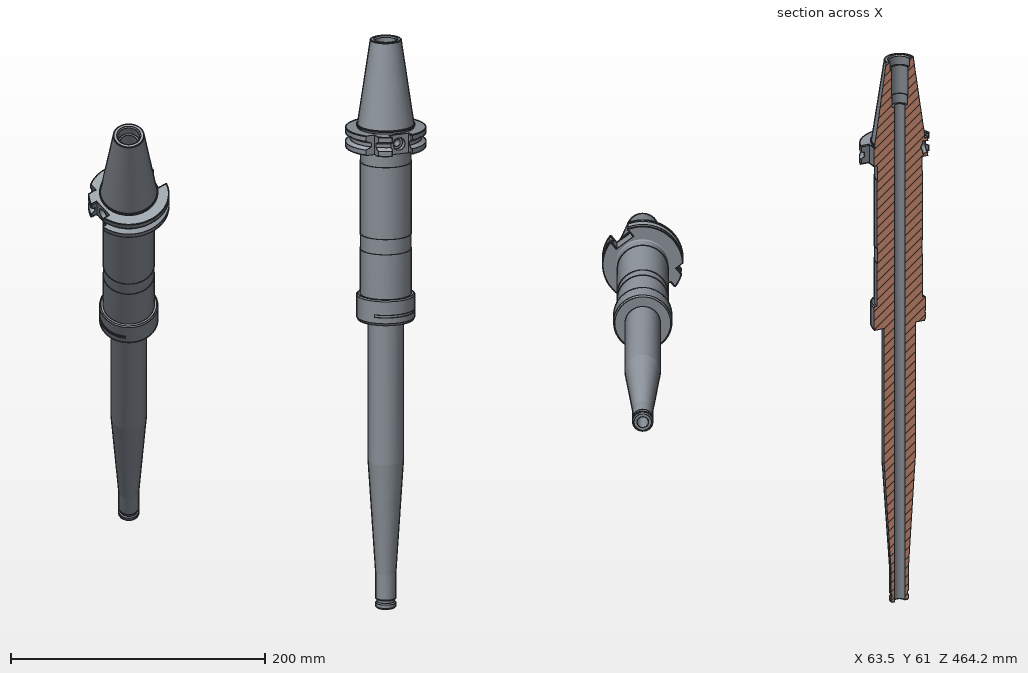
import cadquery as cq
import math

TOTAL_LENGTH = 464.25

GAUGE_DIAMETER = 44.45
TAPER_LENGTH = 68.4
TAPER_RATE = 7 / 24
SHANK_CHAMFER = 0.5
RIM_DIAMETER = 46.0
RIM_TOP_Z = -0.6
RIM_BOTTOM_Z = -1.6

FLANGE_DIAMETER = 63.55
FLANGE_TOP_Z = -3.2
FLANGE_BOTTOM_Z = -19.1
FLANGE_CHAMFER = 0.5
GROOVE_DIAMETER = 56.25
GROOVE_CENTER_Z = -11.1
GROOVE_FLOOR_WIDTH = 3.0
GROOVE_HALF_ANGLE = 30

SLOT_WIDTH = 16.1
SLOT_CHAMFER = 0.8
FRONT_SLOT_FLOOR_Y = -25.0
REAR_SLOT_FLOOR_Y = 22.8
NOTCH_OFFSET = 18.5
CHIP_HOLE_DIAMETER = 10.0
CHIP_HOLE_DEPTH = 4.6
CHIP_PILOT_DIAMETER = 6.0
DRILL_POINT_ANGLE = 118

BODY_DIAMETER = 40.5
BODY_RELIEF_DIAMETER = 40.0
FLANGE_FILLET = 1.0
COLLAR_BOTTOM_Z = -31.2
RING_TOP_Z = -90.0
RING_BOTTOM_Z = -102.4

NUT_DIAMETER = 46.0
NUT_TOP_Z = -139.0
NUT_BOTTOM_Z = -159.8
NUT_TOP_CHAMFER = 1.0
NUT_BEVEL_HEIGHT = 1.9
NUT_BEVEL_WIDTH = 1.0
NUT_SLOT_CENTER_Z = -152.2
NUT_SLOT_HEIGHT = 2.0
NUT_SLOT_DEPTH = 0.5
NUT_SLOT_HALF_ANGLE = 48

NECK_DIAMETER = 28.0
NECK_BOTTOM_Z = -276.0
TIP_DIAMETER = 16.0
TIP_TOP_Z = -368.0

TIP_GROOVE_DIAMETER = 13.84
TIP_GROOVE_TOP_Z = -388.0
TIP_GROOVE_WIDTH = 3.0
TIP_SHOULDER_BEVEL = 1.0
NUT_LAND_BEVEL = 1.0
TIP_CHAMFER = 1.1

THROUGH_BORE_DIAMETER = 9.0
THREAD_DIAMETER = 13.84
THREAD_DEPTH = 32.0
RELIEF_BORE_DIAMETER = 13.0
RELIEF_BORE_DEPTH = 40.0
PILOT_DIAMETER = 17.0
PILOT_DEPTH = 8.0
PILOT_CHAMFER = 1.0

BOTTOM_Z = TAPER_LENGTH - TOTAL_LENGTH


def make_body():
    """Revolve the outside profile of the whole holder, top to bottom."""
    top_radius = (GAUGE_DIAMETER - TAPER_LENGTH * TAPER_RATE) / 2
    gauge_radius = GAUGE_DIAMETER / 2
    rim_radius = RIM_DIAMETER / 2
    flange_radius = FLANGE_DIAMETER / 2
    body_radius = BODY_DIAMETER / 2
    relief_radius = BODY_RELIEF_DIAMETER / 2
    nut_radius = NUT_DIAMETER / 2
    tip_radius = TIP_DIAMETER / 2
    groove_radius = TIP_GROOVE_DIAMETER / 2
    groove_bottom_z = TIP_GROOVE_TOP_Z - TIP_GROOVE_WIDTH
    land_top_z = groove_bottom_z - NUT_LAND_BEVEL
    upper_points = [
        (0, TAPER_LENGTH),
        (top_radius - SHANK_CHAMFER, TAPER_LENGTH),
        (top_radius, TAPER_LENGTH - SHANK_CHAMFER),
        (gauge_radius, 0),
        (gauge_radius, RIM_TOP_Z),
        (rim_radius, RIM_TOP_Z),
        (rim_radius, RIM_BOTTOM_Z),
        (gauge_radius, RIM_BOTTOM_Z),
        (gauge_radius, FLANGE_TOP_Z),
        (flange_radius - FLANGE_CHAMFER, FLANGE_TOP_Z),
        (flange_radius, FLANGE_TOP_Z - FLANGE_CHAMFER),
        (flange_radius, FLANGE_BOTTOM_Z + FLANGE_CHAMFER),
        (flange_radius - FLANGE_CHAMFER, FLANGE_BOTTOM_Z),
        (relief_radius + FLANGE_FILLET, FLANGE_BOTTOM_Z),
    ]
    fillet_end = (relief_radius, FLANGE_BOTTOM_Z - FLANGE_FILLET)
    lower_points = [
        (relief_radius, COLLAR_BOTTOM_Z),
        (body_radius, COLLAR_BOTTOM_Z),
        (body_radius, RING_TOP_Z),
        (relief_radius, RING_TOP_Z),
        (relief_radius, RING_BOTTOM_Z),
        (body_radius, RING_BOTTOM_Z),
        (body_radius, NUT_TOP_Z),
        (nut_radius - NUT_TOP_CHAMFER, NUT_TOP_Z),
        (nut_radius, NUT_TOP_Z - NUT_TOP_CHAMFER),
        (nut_radius, NUT_BOTTOM_Z + NUT_BEVEL_HEIGHT),
        (nut_radius - NUT_BEVEL_WIDTH, NUT_BOTTOM_Z),
        (NECK_DIAMETER / 2, NUT_BOTTOM_Z),
        (NECK_DIAMETER / 2, NECK_BOTTOM_Z),
        (tip_radius, TIP_TOP_Z),
        (tip_radius, TIP_GROOVE_TOP_Z),
        (groove_radius, TIP_GROOVE_TOP_Z - TIP_SHOULDER_BEVEL),
        (groove_radius, groove_bottom_z),
        (tip_radius, land_top_z),
        (tip_radius, BOTTOM_Z + TIP_CHAMFER),
        (tip_radius - TIP_CHAMFER, BOTTOM_Z),
        (0, BOTTOM_Z),
    ]
    upper_outline = cq.Workplane("XZ").polyline(upper_points)
    filleted = upper_outline.radiusArc(fillet_end, -FLANGE_FILLET)
    outline = filleted.polyline(lower_points, includeCurrent=True)
    return outline.close().revolve(360, (0, 0), (0, 1))


def make_gripper_groove():
    """Ring with a trapezoid section, cut around the flange."""
    floor_radius = GROOVE_DIAMETER / 2
    flange_radius = FLANGE_DIAMETER / 2
    floor_half = GROOVE_FLOOR_WIDTH / 2
    wall_rise = (flange_radius - floor_radius) * math.tan(math.radians(GROOVE_HALF_ANGLE))
    mouth_half = floor_half + wall_rise
    section = [
        (floor_radius, GROOVE_CENTER_Z + floor_half),
        (flange_radius, GROOVE_CENTER_Z + mouth_half),
        (flange_radius, GROOVE_CENTER_Z - mouth_half),
        (floor_radius, GROOVE_CENTER_Z - floor_half),
    ]
    return cq.Workplane("XZ").polyline(section).close().revolve(360, (0, 0), (0, 1))


def flange_prism(outline):
    """Extrude an XY outline through the full flange thickness."""
    sketch = cq.Workplane("XY").workplane(offset=FLANGE_BOTTOM_Z).polyline(outline).close()
    return sketch.extrude(FLANGE_TOP_Z - FLANGE_BOTTOM_Z)


def make_drive_slot(floor_y):
    """Radial slot whose mouth is beveled at the outside of the flange."""
    side = math.copysign(1, floor_y)
    half = SLOT_WIDTH / 2
    outer_y = side * FLANGE_DIAMETER / 2
    corner_y = side * math.sqrt((FLANGE_DIAMETER / 2) ** 2 - (half + SLOT_CHAMFER) ** 2)
    bevel_y = corner_y - side * SLOT_CHAMFER
    mouth = half + SLOT_CHAMFER
    return flange_prism([
        (-half, floor_y),
        (half, floor_y),
        (half, bevel_y),
        (mouth, corner_y),
        (mouth, outer_y),
        (-mouth, outer_y),
        (-mouth, corner_y),
        (-half, bevel_y),
    ])


def make_slot_edge_bevels(floor_y):
    """Wedges that chamfer the slot walls along both flange faces."""
    half = SLOT_WIDTH / 2
    mouth = half + SLOT_CHAMFER
    length = FLANGE_DIAMETER / 2 - abs(floor_y)
    start_y = min(floor_y, math.copysign(FLANGE_DIAMETER / 2, floor_y))
    wedges = cq.Workplane("XY")
    for face_z, inward in ((FLANGE_TOP_Z, -1), (FLANGE_BOTTOM_Z, 1)):
        section = [
            (-mouth, face_z),
            (mouth, face_z),
            (half, face_z + inward * SLOT_CHAMFER),
            (-half, face_z + inward * SLOT_CHAMFER),
        ]
        plane = cq.Workplane("XZ", origin=(0, start_y, 0))
        wedges = wedges.add(plane.polyline(section).close().extrude(-length))
    return wedges.combine()


def make_notch():
    """Square corner notch on the -X, -Y side of the flange."""
    outer = FLANGE_DIAMETER / 2
    return flange_prism([
        (-NOTCH_OFFSET, -NOTCH_OFFSET),
        (-outer, -NOTCH_OFFSET),
        (-outer, -outer),
        (-NOTCH_OFFSET, -outer),
    ])


def make_chip_hole():
    """Blind drilled hole in the floor of the -Y drive slot."""
    radius = CHIP_HOLE_DIAMETER / 2
    pilot_radius = CHIP_PILOT_DIAMETER / 2
    point = pilot_radius / math.tan(math.radians(DRILL_POINT_ANGLE / 2))
    bottom_y = FRONT_SLOT_FLOOR_Y + CHIP_HOLE_DEPTH
    section = [
        (0, FRONT_SLOT_FLOOR_Y),
        (radius, FRONT_SLOT_FLOOR_Y),
        (radius, bottom_y),
        (pilot_radius, bottom_y),
        (0, bottom_y + point),
    ]
    hole = cq.Workplane("XY").polyline(section).close().revolve(360, (0, 0), (0, 1))
    return hole.translate((0, 0, GROOVE_CENTER_Z))


def make_nut_slot():
    """Shallow arc slot around the -Y side of the clamping nut."""
    outer_radius = NUT_DIAMETER / 2
    floor_radius = outer_radius - NUT_SLOT_DEPTH
    low_z = NUT_SLOT_CENTER_Z - NUT_SLOT_HEIGHT / 2
    high_z = NUT_SLOT_CENTER_Z + NUT_SLOT_HEIGHT / 2
    section = [
        (floor_radius, low_z),
        (outer_radius, low_z),
        (outer_radius, high_z),
        (floor_radius, high_z),
    ]
    sweep_angle = 2 * NUT_SLOT_HALF_ANGLE
    sector = cq.Workplane("XZ").polyline(section).close().revolve(sweep_angle, (0, 0), (0, 1))
    return sector.rotate((0, 0, 0), (0, 0, 1), -90 - NUT_SLOT_HALF_ANGLE)


def make_bores():
    """Through bore with the threaded and pilot bores of the taper end."""
    bore_radius = THROUGH_BORE_DIAMETER / 2
    relief_radius = RELIEF_BORE_DIAMETER / 2
    thread_radius = THREAD_DIAMETER / 2
    pilot_radius = PILOT_DIAMETER / 2
    section = [
        (0, BOTTOM_Z),
        (bore_radius, BOTTOM_Z),
        (bore_radius, TAPER_LENGTH - RELIEF_BORE_DEPTH),
        (relief_radius, TAPER_LENGTH - RELIEF_BORE_DEPTH),
        (relief_radius, TAPER_LENGTH - THREAD_DEPTH),
        (thread_radius, TAPER_LENGTH - THREAD_DEPTH),
        (thread_radius, TAPER_LENGTH - PILOT_DEPTH),
        (pilot_radius, TAPER_LENGTH - PILOT_DEPTH),
        (pilot_radius, TAPER_LENGTH - PILOT_CHAMFER),
        (pilot_radius + PILOT_CHAMFER, TAPER_LENGTH),
        (0, TAPER_LENGTH),
    ]
    return cq.Workplane("XZ").polyline(section).close().revolve(360, (0, 0), (0, 1))


result = (
    make_body()
    .cut(make_gripper_groove())
    .cut(make_drive_slot(FRONT_SLOT_FLOOR_Y))
    .cut(make_drive_slot(REAR_SLOT_FLOOR_Y))
    .cut(make_slot_edge_bevels(FRONT_SLOT_FLOOR_Y))
    .cut(make_slot_edge_bevels(REAR_SLOT_FLOOR_Y))
    .cut(make_notch())
    .cut(make_chip_hole())
    .cut(make_nut_slot())
    .cut(make_bores())
)